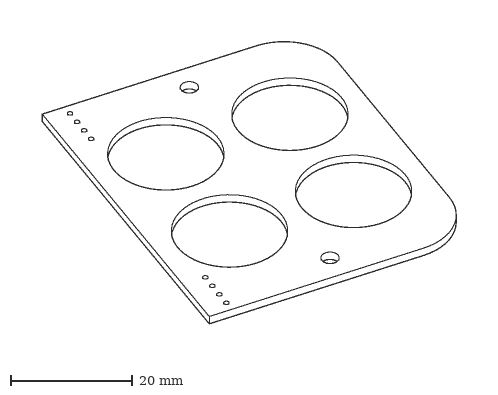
import cadquery as cq

width = 60.45
depth = 49.75
thickness = 1.6
corner_radius = 10.0

opening_diameter = 19.2
opening_pitch = 23.05

mount_diameter = 3.0
mount_spacing = 50.9

pin_diameter = 0.9
pin_pitch = 2.55
pins_per_row = 4
pin_side_margin = 1.95
pin_front_margin = 4.2


def make_plate():
    """Flat plate with its two rear corners rounded."""
    plate = cq.Workplane("XY").box(width, depth, thickness, centered=(True, True, False))
    return plate.edges("|Z and >Y").fillet(corner_radius)


def through_holes(points, diameter):
    """Cylinders that cut holes through the full plate thickness."""
    return cq.Workplane("XY").pushPoints(points).circle(diameter / 2).extrude(thickness)


opening_offset = opening_pitch / 2
opening_points = [
    (side_x * opening_offset, side_y * opening_offset)
    for side_x in (-1, 1)
    for side_y in (-1, 1)
]

mount_points = [(side * mount_spacing / 2, 0) for side in (-1, 1)]

outer_pin_x = width / 2 - pin_side_margin
pin_y = -depth / 2 + pin_front_margin
pin_points = [
    (side * (outer_pin_x - index * pin_pitch), pin_y)
    for side in (-1, 1)
    for index in range(pins_per_row)
]

result = (
    make_plate()
    .cut(through_holes(opening_points, opening_diameter))
    .cut(through_holes(mount_points, mount_diameter))
    .cut(through_holes(pin_points, pin_diameter))
)